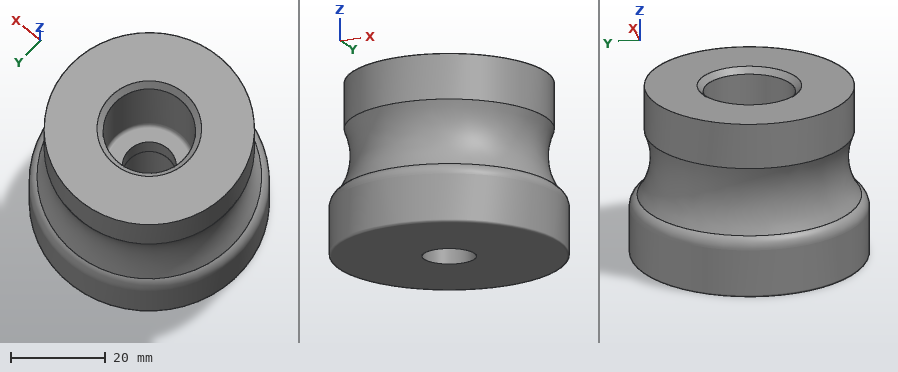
import cadquery as cq
import math

total_height = 38.1
pad_height = 13.35
collar_bottom = 28.05

pad_radius = 50.8 / 2
shoulder_radius = 3.05
bottom_fillet = 0.5

collar_radius = 44.45 / 2
flare_radius = 47.45 / 2
waist_arc_radius = 15.0

through_diameter = 11.5
bore_diameter = 19.5
bore_mouth_diameter = 22.1
bore_floor = 18.3
bore_floor_fillet = 0.8


def through_hole(height):
    """Cutter for the screw hole, rising from the base plane."""
    return cq.Workplane("XY").circle(through_diameter / 2).extrude(height)


def make_pad():
    """Revolved pad with a rounded shoulder and a softened bottom edge."""
    shoulder_center_r = pad_radius - shoulder_radius
    shoulder_angle = math.acos((flare_radius - shoulder_center_r) / shoulder_radius)
    shoulder_bottom = pad_height - shoulder_radius * math.sin(shoulder_angle)
    shoulder_mid = (
        shoulder_center_r + shoulder_radius * math.cos(shoulder_angle / 2),
        shoulder_bottom + shoulder_radius * math.sin(shoulder_angle / 2),
    )
    body = (
        cq.Workplane("XZ")
        .lineTo(pad_radius, 0)
        .lineTo(pad_radius, shoulder_bottom)
        .threePointArc(shoulder_mid, (flare_radius, pad_height))
        .lineTo(0, pad_height)
        .close()
        .revolve(360, (0, 0), (0, 1))
    )
    body = body.faces("<Z").edges().fillet(bottom_fillet)
    return body.cut(through_hole(pad_height))


def waist_midpoint():
    """Middle of the concave waist arc, which bulges toward the axis."""
    run = collar_radius - flare_radius
    rise = collar_bottom - pad_height
    chord = math.hypot(run, rise)
    sagitta = waist_arc_radius - math.sqrt(waist_arc_radius**2 - (chord / 2) ** 2)
    middle_r = (collar_radius + flare_radius) / 2
    middle_z = (collar_bottom + pad_height) / 2
    return (middle_r - sagitta * rise / chord, middle_z + sagitta * run / chord)


def bore_cutter():
    """Blind bore with a rounded floor edge and a 45 degree mouth."""
    bore_radius = bore_diameter / 2
    mouth_depth = (bore_mouth_diameter - bore_diameter) / 2
    bore = (
        cq.Workplane("XY", origin=(0, 0, bore_floor))
        .circle(bore_radius)
        .extrude(total_height - bore_floor)
        .faces("<Z")
        .edges()
        .fillet(bore_floor_fillet)
    )
    mouth = cq.Workplane(
        cq.Solid.makeCone(
            bore_radius, bore_mouth_diameter / 2, mouth_depth,
            pnt=cq.Vector(0, 0, total_height - mouth_depth),
        )
    )
    return bore.union(mouth)


def make_housing():
    """Revolved housing with a straight collar above a concave waist."""
    body = (
        cq.Workplane("XZ")
        .moveTo(0, pad_height)
        .lineTo(flare_radius, pad_height)
        .threePointArc(waist_midpoint(), (collar_radius, collar_bottom))
        .lineTo(collar_radius, total_height)
        .lineTo(0, total_height)
        .close()
        .revolve(360, (0, 0), (0, 1))
    )
    return body.cut(bore_cutter()).cut(through_hole(total_height))


pad = make_pad()
housing = make_housing()

result = cq.Compound.makeCompound([pad.val(), housing.val()])